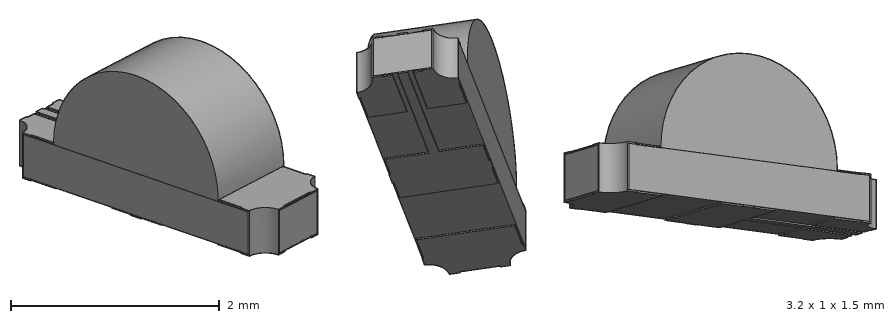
import cadquery as cq

LENGTH = 3.2
LENGTH_TO_WIDTH = 3.2
HEIGHT_TO_WIDTH = 1.5
WIDTH = LENGTH / LENGTH_TO_WIDTH
HEIGHT = HEIGHT_TO_WIDTH * WIDTH
LENS_RADIUS = 1.018

COPPER = 0.015
BASE_HEIGHT = HEIGHT - LENS_RADIUS
BOARD_TOP = BASE_HEIGHT - COPPER

NOTCH_RADIUS = 0.2
BOARD_NOTCH_RADIUS = NOTCH_RADIUS + COPPER
RING_RADIUS = 0.3

PAD_INSET = 0.0145
TOP_PAD_END = LENS_RADIUS
BOTTOM_PAD_END = 0.995
STRIP_WIDTH = 0.1
STRIP_GAP = 0.05
SIDE_TRACE_WIDTH = 0.128
CENTRE_PAD_HALF_LENGTH = 0.31
SPLIT_WIDTH = STRIP_WIDTH + 2 * STRIP_GAP


def box(x_min, x_max, y_min, y_max, z_min, z_max):
    """Axis-aligned block between two opposite corners."""
    size = (x_max - x_min, y_max - y_min, z_max - z_min)
    return cq.Workplane().box(*size, centered=False).translate((x_min, y_min, z_min))


def corner_cylinder(side_x, side_y, radius, z_min, z_max):
    """Upright cylinder centred on one corner of the full base rectangle."""
    centre = (side_x * LENGTH / 2, side_y * WIDTH / 2)
    return cq.Workplane().workplane(offset=z_min).center(*centre).circle(radius).extrude(z_max - z_min)


def base_block(z_min, z_max):
    """Full base rectangle without its corner notches."""
    return box(-LENGTH / 2, LENGTH / 2, -WIDTH / 2, WIDTH / 2, z_min, z_max)


def make_board():
    """Insulating board between the copper layers, notched at its corners."""
    board = base_block(COPPER, BOARD_TOP)
    for side_x in (-1, 1):
        for side_y in (-1, 1):
            board = board.cut(corner_cylinder(side_x, side_y, BOARD_NOTCH_RADIUS, COPPER, BOARD_TOP))
    return board


def make_lens():
    """Half-round lens on a short straight foot that rests on the board."""
    return (
        cq.Workplane("XZ", origin=(0, WIDTH / 2, 0))
        .moveTo(-LENS_RADIUS, BOARD_TOP)
        .lineTo(LENS_RADIUS, BOARD_TOP)
        .lineTo(LENS_RADIUS, BASE_HEIGHT)
        .threePointArc((0, HEIGHT), (-LENS_RADIUS, BASE_HEIGHT))
        .close()
        .extrude(WIDTH)
    )


def end_pad(side_x, pad_end, z_min):
    """Flat pad at one end, inset from the board edge except at the corner rings."""
    z_max = z_min + COPPER
    outer_x = side_x * (LENGTH / 2 - PAD_INSET)
    inner_x = side_x * pad_end
    pad_y = WIDTH / 2 - PAD_INSET
    pad = box(min(outer_x, inner_x), max(outer_x, inner_x), -pad_y, pad_y, z_min, z_max)
    for side_y in (-1, 1):
        ring = corner_cylinder(side_x, side_y, RING_RADIUS, z_min, z_max)
        pad = pad.union(ring.intersect(base_block(z_min, z_max)))
    return pad


def end_copper(side_x):
    """Top and bottom pads of one end, joined by the plating of both notches."""
    copper = end_pad(side_x, BOTTOM_PAD_END, 0).union(end_pad(side_x, TOP_PAD_END, BOARD_TOP))
    for side_y in (-1, 1):
        plating = corner_cylinder(side_x, side_y, BOARD_NOTCH_RADIUS, 0, BASE_HEIGHT)
        copper = copper.union(plating.intersect(base_block(0, BASE_HEIGHT)))
        copper = copper.cut(corner_cylinder(side_x, side_y, NOTCH_RADIUS, 0, BASE_HEIGHT))
    return copper


def make_right_contact():
    """Contact that spans both corners of the +X end."""
    return end_copper(1)


def make_left_contact(side_y):
    """One half of the -X end copper, kept clear of the middle strip."""
    y_limits = sorted((side_y * SPLIT_WIDTH / 2, side_y * WIDTH / 2))
    return end_copper(-1).intersect(box(-LENGTH / 2, 0, *y_limits, 0, BASE_HEIGHT))


def make_top_strip():
    """Trace between the two left contacts on top of the board."""
    return box(-LENGTH / 2, -TOP_PAD_END, -STRIP_WIDTH / 2, STRIP_WIDTH / 2, BOARD_TOP, BASE_HEIGHT)


def make_bottom_contact():
    """Middle pad under the board, with traces to the -X end and both long edges."""
    pad_y = WIDTH / 2 - PAD_INSET
    half_strip = STRIP_WIDTH / 2
    pad = box(-CENTRE_PAD_HALF_LENGTH, CENTRE_PAD_HALF_LENGTH, -pad_y, pad_y, 0, COPPER)
    end_trace = box(-LENGTH / 2, 0, -half_strip, half_strip, 0, COPPER)
    half_trace = SIDE_TRACE_WIDTH / 2
    side_trace = box(-half_trace, half_trace, -WIDTH / 2, WIDTH / 2, 0, COPPER)
    return pad.union(end_trace).union(side_trace)


board = make_board()
lens = make_lens()
right_contact = make_right_contact()
left_contacts = [make_left_contact(side_y) for side_y in (-1, 1)]
top_strip = make_top_strip()
bottom_contact = make_bottom_contact()

result = cq.Compound.makeCompound([
    board.val(),
    lens.val(),
    right_contact.val(),
    *[contact.val() for contact in left_contacts],
    top_strip.val(),
    bottom_contact.val(),
])